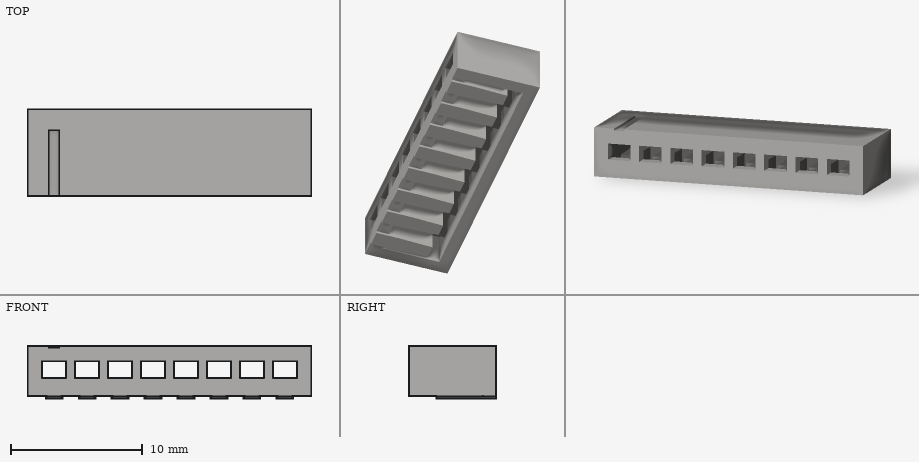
import cadquery as cq

length = 21.5
depth = 6.6
overall_height = 4.0
foot_height = 0.2
body_height = overall_height - foot_height

position_count = 8
end_gap = 2.0
pitch = (length - 2 * end_gap) / (position_count - 1)

window_width = 1.8
window_height = 1.25
window_top_gap = 1.18
window_top = body_height - window_top_gap
window_bottom = window_top - window_height

wall_thickness = 1.0

contact_front_y = 2.09
contact_rear_straight = 1.85
contact_rear_width = 1.3
contact_front_width = 1.08

groove_left = 1.6
groove_width = 0.8
groove_length = 4.99
groove_depth = 0.15


def box_from_corner(x, y, z, x_size, y_size, z_size):
    """Box whose lower front left corner lies at (x, y, z)."""
    return cq.Workplane("XY").box(x_size, y_size, z_size, centered=False).translate((x, y, z))


def contact(center_x):
    """Contact that rises to the window sill and whose foot stands out below the housing."""
    taper_end_y = depth - contact_rear_straight
    half_rear = contact_rear_width / 2
    half_front = contact_front_width / 2
    outline = [
        (center_x - half_front, contact_front_y),
        (center_x + half_front, contact_front_y),
        (center_x + half_rear, taper_end_y),
        (center_x + half_rear, depth),
        (center_x - half_rear, depth),
        (center_x - half_rear, taper_end_y),
    ]
    base = cq.Workplane("XY").workplane(offset=-foot_height)
    return base.polyline(outline).close().extrude(foot_height + window_bottom)


def window(center_x):
    """Rectangular opening through the whole depth."""
    left = center_x - window_width / 2
    return box_from_corner(left, 0, window_bottom, window_width, depth, window_height)


housing = box_from_corner(0, 0, 0, length, depth, body_height)

cavity = box_from_corner(
    wall_thickness,
    wall_thickness,
    0,
    length - 2 * wall_thickness,
    depth - 2 * wall_thickness,
    window_top,
)
result = housing.cut(cavity)

for index in range(position_count):
    position_x = end_gap + index * pitch
    result = result.cut(window(position_x)).union(contact(position_x))

groove = box_from_corner(
    groove_left, 0, body_height - groove_depth, groove_width, groove_length, groove_depth
)
result = result.cut(groove)